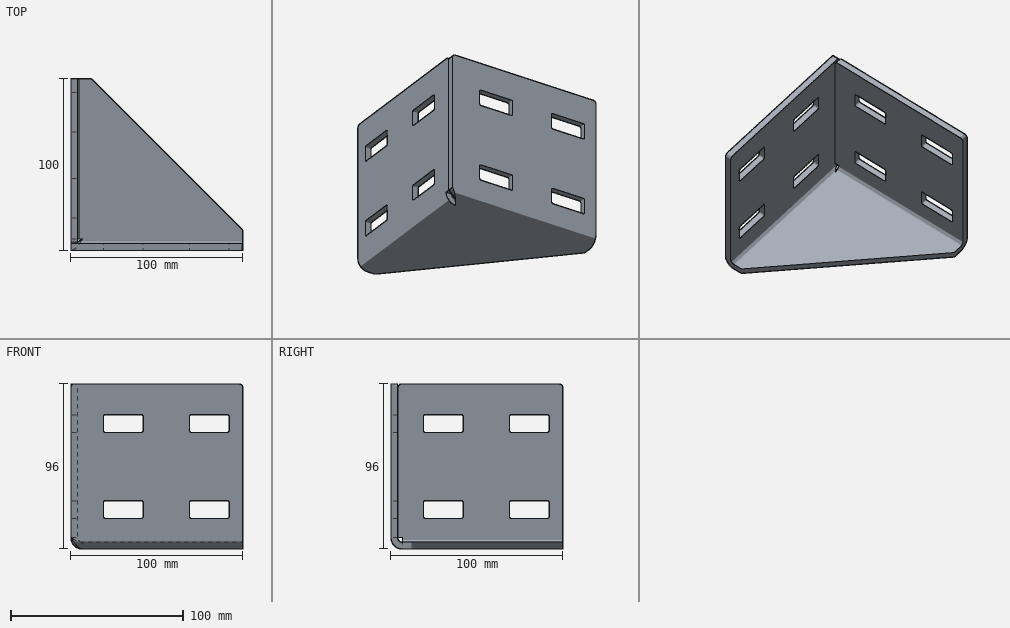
import cadquery as cq

width = 100.0
height = 96.0
thickness = 4.0
inner_bend_radius = 2.7
bend_radius = inner_bend_radius + thickness

wall_gap = 0.1
side_wall_start = thickness + wall_gap
wall_corner_radius = 2.0

base_tip = 12.0
base_corner_radius = 2.0

slot_length = 23.0
slot_height = 10.2
slot_corner_radius = 1.0
slot_pitch = 50.0
slots_per_row = 2
slot_rows = 2
first_slot_along = 30.5
first_slot_up = 23.0

quarter_turn = 90

front_wall_plane = cq.Plane(origin=(0, thickness, 0), xDir=(1, 0, 0), normal=(0, -1, 0))
side_wall_plane = cq.Plane(origin=(0, 0, 0), xDir=(0, 1, 0), normal=(1, 0, 0))

front_bend_plane = cq.Plane(origin=(0, 0, 0), xDir=(0, 1, 0), normal=(1, 0, 0))
side_bend_plane = cq.Plane(origin=(0, 0, 0), xDir=(0, 0, 1), normal=(0, 1, 0))


def base_plate():
    """Flat triangular base, starting where the two bends end."""
    outline = [
        (bend_radius, bend_radius),
        (width, bend_radius),
        (width, base_tip),
        (base_tip, width),
        (bend_radius, width),
    ]
    plate = cq.Workplane("XY").polyline(outline).close().extrude(thickness)
    for tip_x, tip_y in [(width, base_tip), (base_tip, width)]:
        tip_edge = cq.selectors.NearestToPointSelector((tip_x, tip_y, thickness / 2))
        plate = plate.edges("|Z").edges(tip_edge).fillet(base_corner_radius)
    return plate


def wall(plane, start):
    """Flat slotted wall above its bend, running from start to the full width."""
    sheet_centre = ((start + width) / 2, (bend_radius + height) / 2)
    sheet_outline = (
        cq.Sketch()
        .rect(width - start, height - bend_radius)
        .vertices(">Y")
        .fillet(wall_corner_radius)
    )
    sheet = (
        cq.Workplane(plane)
        .center(*sheet_centre)
        .placeSketch(sheet_outline)
        .extrude(thickness)
    )
    slot_outline = (
        cq.Sketch()
        .rect(slot_length, slot_height)
        .vertices()
        .fillet(slot_corner_radius)
    )
    slot_centres = [
        (first_slot_along + column * slot_pitch, first_slot_up + row * slot_pitch)
        for column in range(slots_per_row)
        for row in range(slot_rows)
    ]
    slots = (
        cq.Workplane(plane)
        .pushPoints(slot_centres)
        .placeSketch(slot_outline)
        .extrude(thickness)
    )
    return sheet.cut(slots)


def bend(plane, start, end):
    """Quarter-round bend joining a wall to the base, from start to end along the normal."""
    start_plane = cq.Workplane(plane).workplane(offset=start)
    length = end - start
    ring = (
        start_plane.center(bend_radius, bend_radius)
        .circle(bend_radius)
        .circle(inner_bend_radius)
        .extrude(length)
    )
    quarter = start_plane.rect(bend_radius, bend_radius, centered=False).extrude(length)
    return ring.intersect(quarter)


def front_bend_end():
    """Mitred end of the front bend.

    The cut runs from the wall's edge at x = 0 to the base's corner and advances
    evenly around the bend.
    A block turning about the bend axis leaves exactly the material behind the cut.
    """
    block_size = 2 * bend_radius
    turning_block = (
        cq.Workplane(front_bend_plane)
        .center(bend_radius, bend_radius)
        .rect(-block_size, block_size, centered=False)
        .twistExtrude(bend_radius, quarter_turn)
    )
    return bend(front_bend_plane, 0, bend_radius).intersect(turning_block)


result = (
    base_plate()
    .union(bend(front_bend_plane, bend_radius, width))
    .union(bend(side_bend_plane, bend_radius, width))
    .union(front_bend_end())
    .union(wall(front_wall_plane, 0))
    .union(wall(side_wall_plane, side_wall_start))
)